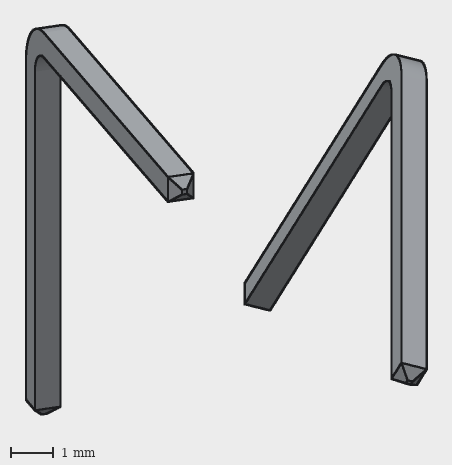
import cadquery as cq

pin_width = 0.635
overall_length = 10.16
tip_length = 0.254

tip_flat = pin_width - 2 * tip_length
inner_radius = pin_width
outer_radius = inner_radius + pin_width
centreline_radius = (inner_radius + outer_radius) / 2
shank_length = overall_length - outer_radius - tip_length
bend_angle = 90


def make_leg(start_plane):
    """Square shank extruded from the end of the bend, closed by a tapered square tip."""
    shank = cq.Workplane(start_plane).rect(pin_width, pin_width).extrude(shank_length)
    tip = (
        cq.Workplane(start_plane)
        .workplane(offset=shank_length)
        .rect(pin_width, pin_width)
        .workplane(offset=tip_length)
        .rect(tip_flat, tip_flat)
        .loft()
    )
    return shank.union(tip)


def make_bend():
    """Quarter-turn elbow with the same square section as the legs."""
    return (
        cq.Workplane("XY", origin=(-centreline_radius, 0, 0))
        .rect(pin_width, pin_width)
        .revolve(bend_angle, (centreline_radius, 0, 0), (centreline_radius, 1, 0))
    )


horizontal_start = cq.Plane(origin=(0, 0, centreline_radius), xDir=(0, 1, 0), normal=(1, 0, 0))
vertical_start = cq.Plane(origin=(-centreline_radius, 0, 0), xDir=(1, 0, 0), normal=(0, 0, -1))

horizontal_leg = make_leg(horizontal_start)
vertical_leg = make_leg(vertical_start)
result = make_bend().union(horizontal_leg, clean=False).union(vertical_leg, clean=False)